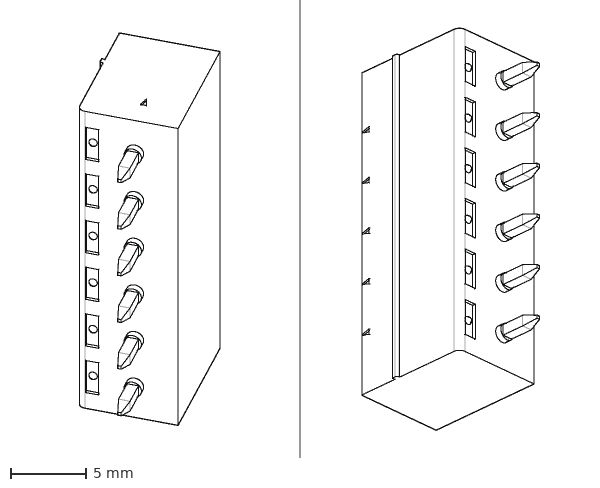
import cadquery as cq

height = 24.25
width = 7.0
depth = 9.22
corner_radius = 0.5
back_chamfer = 0.05
left = -width / 2
front = -depth / 2
back = depth / 2

pole_count = 6
pitch = 3.8
pole_heights = [(i - (pole_count - 1) / 2) * pitch for i in range(pole_count)]
gap_heights = [z + pitch / 2 for z in pole_heights[:-1]]

rib_height = 0.25
rib_width = 0.44
rib_radius = 0.17
rib_from_back = 3.15

pin_x = left + 4.0
collar_diameter = 1.21
collar_length = 0.48
pin_side = 0.8
pin_tip_side = 0.25
pin_length = 3.4
pin_taper_length = 1.07

window_width = 0.92
window_height = 2.62
window_depth = 0.25
window_x = left + 1.02
dot_radius = 0.3

mark_length = 0.73
mark_width = 0.41
mark_depth = 0.15
top_mark_from_front = 1.87


def front_plane(x, y, z):
    """Sketch plane facing -Y: local X is +X, local Y is +Z."""
    return cq.Workplane("XZ", origin=(x, y, z))


def make_housing():
    block = cq.Workplane("XY").box(width, depth, height)
    block = block.edges("|Z and <X and <Y").fillet(corner_radius)
    return block.edges("|Z and <X and >Y").chamfer(back_chamfer)


def make_rib():
    rib = cq.Workplane("XY").box(2 * rib_height, rib_width, height)
    rib = rib.edges("|Z and <X and <Y").fillet(rib_radius)
    return rib.translate((left, back - rib_from_back - rib_width / 2, 0))


def make_pin(z):
    straight_length = pin_length - pin_taper_length
    collar = front_plane(pin_x, front, z).circle(collar_diameter / 2).extrude(collar_length)
    shank = front_plane(pin_x, front, z).rect(pin_side, pin_side).extrude(straight_length)
    tip = (
        front_plane(pin_x, front - straight_length, z)
        .rect(pin_side, pin_side)
        .workplane(offset=pin_taper_length)
        .rect(pin_tip_side, pin_tip_side)
        .loft()
    )
    return collar.union(shank).union(tip)


def make_window(z):
    return front_plane(window_x, front, z).rect(window_width, window_height).extrude(-window_depth)


def make_dot(z):
    return cq.Workplane("XY").sphere(dot_radius).translate((window_x, front + dot_radius, z))


def make_mark(plane):
    """Triangle with its apex at the plane origin, opening along local -Y, cut into the face."""
    half = mark_width / 2
    outline = plane.polyline([(0, 0), (-half, -mark_length), (half, -mark_length)]).close()
    return outline.extrude(-mark_depth)


def top_mark_plane():
    apex_y = front + top_mark_from_front + mark_length
    return cq.Workplane("XY", origin=(pin_x, apex_y, height / 2))


def side_mark_plane(z):
    return cq.Workplane(cq.Plane(origin=(left, back, z), xDir=(0, 0, 1), normal=(-1, 0, 0)))


result = make_housing().union(make_rib())
for z in pole_heights:
    result = result.cut(make_window(z)).union(make_dot(z)).union(make_pin(z))
for z in gap_heights:
    result = result.cut(make_mark(side_mark_plane(z)))
result = result.cut(make_mark(top_mark_plane()))